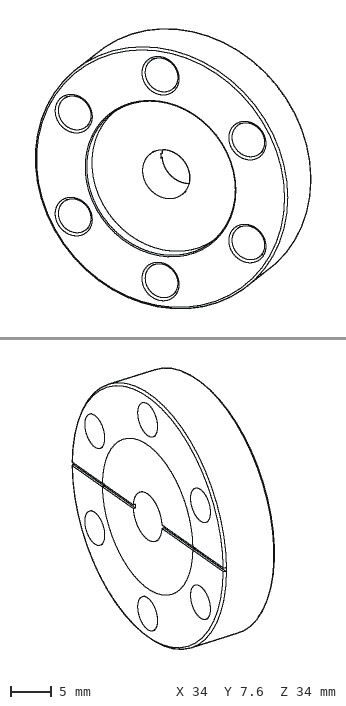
import cadquery as cq

outer_diameter = 34.0
thickness = 7.6
rim_chamfer = 0.3
bore_diameter = 20.0
bore_chamfer = 0.15

bolt_count = 6
bolt_circle_diameter = 27.0
bolt_hole_diameter = 4.4
bolt_hole_chamfer = 0.3

recess_depth = 1.7
center_hole_diameter = 6.35

groove_width = 0.5
groove_depth = 0.3

front_y = -thickness / 2
back_y = thickness / 2


def disc(diameter, start_y, end_y):
    """Plain cylinder along Y between two planes."""
    plane = cq.Workplane("XZ", origin=(0, start_y, 0))
    return plane.circle(diameter / 2).extrude(start_y - end_y)


def back_groove():
    """Bar that cuts the groove right across the back face."""
    bar = cq.Workplane("XY").box(outer_diameter, groove_depth, groove_width)
    return bar.translate((0, back_y - groove_depth / 2, 0))


def bolt_hole_cutter():
    """Bolt hole with its front chamfer, at the top of the bolt circle."""
    radius = bolt_hole_diameter / 2
    section = (
        cq.Workplane("XY")
        .moveTo(0, front_y)
        .lineTo(radius + bolt_hole_chamfer, front_y)
        .lineTo(radius, front_y + bolt_hole_chamfer)
        .lineTo(radius, back_y)
        .lineTo(0, back_y)
        .close()
    )
    cutter = section.revolve(360, (0, 0), (0, 1))
    return cutter.translate((0, 0, bolt_circle_diameter / 2))


def make_flange():
    ring = disc(outer_diameter, front_y, back_y).edges().chamfer(rim_chamfer)
    ring = ring.cut(disc(bore_diameter, front_y, back_y))
    bore_edge = cq.selectors.RadiusNthSelector(0)
    ring = ring.faces("<Y").edges(bore_edge).chamfer(bore_chamfer)

    cutter = bolt_hole_cutter()
    for i in range(bolt_count):
        angle = i * 360 / bolt_count
        ring = ring.cut(cutter.rotate((0, 0, 0), (0, 1, 0), angle))
    return ring.cut(back_groove())


def make_insert():
    body = disc(bore_diameter, front_y + recess_depth, back_y)
    body = body.cut(disc(center_hole_diameter, front_y, back_y))
    return body.cut(back_groove())


flange = make_flange()
insert = make_insert()

result = cq.Compound.makeCompound([flange.val(), insert.val()])